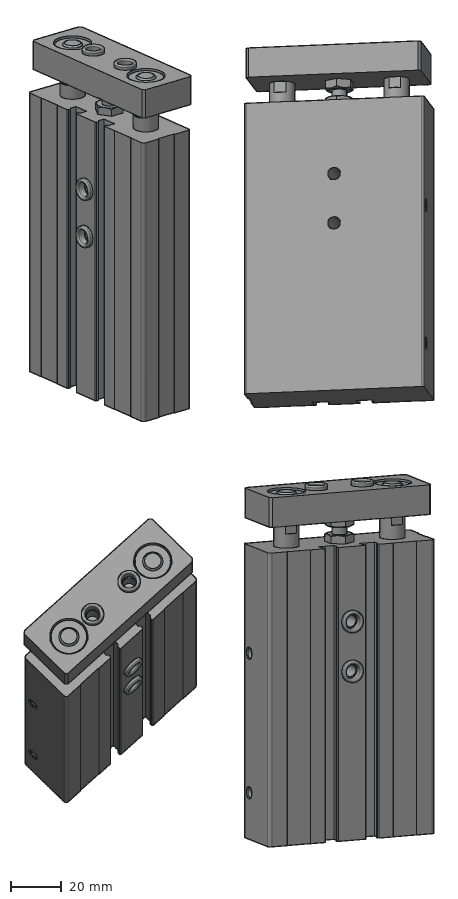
import cadquery as cq
import math


HOUSING_WIDTH = 72.0
HOUSING_DEPTH = 24.0
HOUSING_HEIGHT = 118.0
FRONT_CORNER_RADIUS = 1.3
BACK_CORNER_RADIUS = 1.0
FRONT_Y = -HOUSING_DEPTH / 2

FRONT_GROOVE_WIDTH = 10.0
FRONT_GROOVE_DEPTH = 0.1
SIDE_GROOVE_WIDTH = 8.0
SIDE_GROOVE_DEPTH = 0.4

SLOT_X = 8.8
SLOT_NECK_WIDTH = 5.0
SLOT_NECK_DEPTH = 1.3
SLOT_WIDTH = 6.5
SLOT_DEPTH = 4.8
SLOT_CHAMFER = 0.4

PORT_Y = 7.0
PORT_LOW_Z = 18.7
PORT_PITCH = 56.0
PORT_MOUTH_DIAMETER = 5.0
PORT_DIAMETER = 4.1
PORT_DEPTH = 8.0
DRILL_POINT_ANGLE = 118

ROD_GAP = 10.0
YOKE_WIDTH = 70.0
YOKE_DEPTH = 25.0
YOKE_THICKNESS = 11.9
YOKE_FRONT_Y = -11.0
YOKE_CHAMFER = 1.0
YOKE_BOTTOM_Z = HOUSING_HEIGHT + ROD_GAP
YOKE_TOP_Z = YOKE_BOTTOM_Z + YOKE_THICKNESS

HEX_ACROSS_FLATS = 10.0
HEX_ACROSS_CORNERS = HEX_ACROSS_FLATS / math.cos(math.pi / 6)
HEX_CHAMFER_ANGLE = 30
UPPER_HEX_HEIGHT = 3.7
UPPER_HEX_FACE_DIAMETER = 9.2
LOWER_HEX_HEIGHT = 3.3
LOWER_HEX_FACE_DIAMETER = 10.0
SCREW_NECK_DIAMETER = 6.0

ROD_X = 23.0
ROD_DIAMETER = 10.0
PISTON_DIAMETER = 20.0
PISTON_HEIGHT = 20.0
PISTON_BOTTOM_Z = 18.0
ROD_FLATS = 9.0
ROD_FLATS_HEIGHT = 4.4
ROD_HEAD_DIAMETER = 14.0
ROD_HEAD_SEAT_DEPTH = 5.0
ROD_HEAD_BOTTOM_Z = YOKE_TOP_Z - ROD_HEAD_SEAT_DEPTH
ROD_TIP_DIAMETER = 8.0
ROD_TIP_CHAMFER = 0.7
ROD_COUNTERBORE_DIAMETER = 15.0

SLEEVE_PITCH = 20.0
SLEEVE_DIAMETER = 9.0
SLEEVE_BORE = 6.0
SLEEVE_LENGTH = 3.5
SLEEVE_PROTRUSION = 1.8
SLEEVE_SEAT_DEPTH = SLEEVE_LENGTH - SLEEVE_PROTRUSION
YOKE_SEAT_Z = YOKE_TOP_Z - SLEEVE_SEAT_DEPTH
FRONT_SLEEVE_TOP_Z = 87.9
SCREW_HOLE_DIAMETER = 5.0
YOKE_SCREW_HOLE_DEPTH = 8.0

FRONT_SLEEVE_ZS = [FRONT_SLEEVE_TOP_Z, FRONT_SLEEVE_TOP_Z - SLEEVE_PITCH]
YOKE_SLEEVE_XS = [-SLEEVE_PITCH / 2, SLEEVE_PITCH / 2]
ROD_XS = [-ROD_X, ROD_X]


def cylinder(diameter, height, base=(0, 0, 0)):
    """Upright cylinder standing on the given base centre."""
    return cq.Workplane("XY", origin=base).circle(diameter / 2).extrude(height)


def front_cylinder(diameter, depth, z):
    """Cylinder running into the housing from its front face."""
    return cq.Workplane("XZ", origin=(0, FRONT_Y, z)).circle(diameter / 2).extrude(-depth)


def t_slot(x):
    """T-slot cutter along the full housing height, with a chamfered mouth."""
    neck = SLOT_NECK_WIDTH / 2
    mouth = neck + SLOT_CHAMFER
    wing = SLOT_WIDTH / 2
    half = [
        (mouth, 0),
        (neck, SLOT_CHAMFER),
        (neck, SLOT_NECK_DEPTH),
        (wing, SLOT_NECK_DEPTH + wing - neck),
        (wing, SLOT_DEPTH),
    ]
    outline = half + [(-across, inward) for across, inward in reversed(half)]
    return cq.Workplane("XY", origin=(x, FRONT_Y, 0)).polyline(outline).close().extrude(HOUSING_HEIGHT)


def air_port(z):
    """Blind port cutter in the -X side: countersunk mouth and drill-point bottom."""
    mouth = PORT_MOUTH_DIAMETER / 2
    bore = PORT_DIAMETER / 2
    point_depth = PORT_DEPTH + bore / math.tan(math.radians(DRILL_POINT_ANGLE / 2))
    return (
        cq.Workplane("XY", origin=(-HOUSING_WIDTH / 2, PORT_Y, z))
        .polyline([(0, 0), (0, mouth), (mouth - bore, bore), (PORT_DEPTH, bore), (point_depth, 0)])
        .close()
        .revolve(360, (0, 0, 0), (1, 0, 0))
    )


def make_housing():
    housing = (
        cq.Workplane("XY")
        .box(HOUSING_WIDTH, HOUSING_DEPTH, HOUSING_HEIGHT, centered=(True, True, False))
        .edges("|Z and <Y")
        .fillet(FRONT_CORNER_RADIUS)
        .edges("|Z and >Y")
        .fillet(BACK_CORNER_RADIUS)
    )
    front_groove = cq.Workplane("XY").rect(FRONT_GROOVE_WIDTH, 2 * FRONT_GROOVE_DEPTH).extrude(HOUSING_HEIGHT)
    for x in ROD_XS:
        housing = housing.cut(front_groove.translate((x, FRONT_Y, 0)))
    side_groove = cq.Workplane("XY").rect(2 * SIDE_GROOVE_DEPTH, SIDE_GROOVE_WIDTH).extrude(HOUSING_HEIGHT)
    housing = housing.cut(side_groove.translate((HOUSING_WIDTH / 2, 0, 0)))
    for x in (-SLOT_X, SLOT_X):
        housing = housing.cut(t_slot(x))
    for z in (PORT_LOW_Z, PORT_LOW_Z + PORT_PITCH):
        housing = housing.cut(air_port(z))
    for z in FRONT_SLEEVE_ZS:
        housing = housing.cut(front_cylinder(SLEEVE_DIAMETER, SLEEVE_SEAT_DEPTH, z))
        housing = housing.cut(front_cylinder(SCREW_HOLE_DIAMETER, HOUSING_DEPTH, z))
    for x in ROD_XS:
        housing = housing.cut(cylinder(PISTON_DIAMETER, PISTON_HEIGHT, (x, 0, PISTON_BOTTOM_Z)))
        housing = housing.cut(cylinder(ROD_DIAMETER, HOUSING_HEIGHT, (x, 0, PISTON_BOTTOM_Z)))
    return housing


def make_piston_rod(x):
    """Piston, rod with wrench flats, round clamping head and chamfered tip."""
    piston = cylinder(PISTON_DIAMETER, PISTON_HEIGHT, (x, 0, PISTON_BOTTOM_Z))
    shaft = cylinder(ROD_DIAMETER, ROD_HEAD_BOTTOM_Z - PISTON_BOTTOM_Z, (x, 0, PISTON_BOTTOM_Z))
    wrench_zone = cq.Workplane("XY", origin=(x, 0, YOKE_BOTTOM_Z - ROD_FLATS_HEIGHT))
    wrench_ring = wrench_zone.rect(ROD_DIAMETER, 2 * ROD_DIAMETER).extrude(ROD_FLATS_HEIGHT)
    wrench_core = wrench_zone.rect(ROD_DIAMETER, ROD_FLATS).extrude(ROD_FLATS_HEIGHT)
    shaft = shaft.cut(wrench_ring.cut(wrench_core))
    head_height = ROD_HEAD_SEAT_DEPTH - ROD_TIP_CHAMFER
    head = cylinder(ROD_HEAD_DIAMETER, head_height, (x, 0, ROD_HEAD_BOTTOM_Z))
    tip = cylinder(ROD_TIP_DIAMETER, ROD_HEAD_SEAT_DEPTH, (x, 0, ROD_HEAD_BOTTOM_Z))
    tip = tip.faces(">Z").chamfer(ROD_TIP_CHAMFER)
    return piston.union(shaft).union(head).union(tip)


def make_hexagon(height, face_diameter):
    """Hexagon with corners toward +Y and -Y, standing on Z = 0, its upper corners chamfered."""
    prism = cq.Workplane("XY").polygon(6, HEX_ACROSS_CORNERS).extrude(height)
    prism = prism.rotate((0, 0, 0), (0, 0, 1), 90)
    face = face_diameter / 2
    corner = HEX_ACROSS_CORNERS / 2
    chamfer_z = height - (corner - face) * math.tan(math.radians(HEX_CHAMFER_ANGLE))
    envelope = (
        cq.Workplane("XZ")
        .polyline([(0, 0), (corner, 0), (corner, chamfer_z), (face, height), (0, height)])
        .close()
        .revolve(360, (0, 0, 0), (0, 1, 0))
    )
    return prism.intersect(envelope)


def make_yoke():
    """Yoke plate with the stop screw that reaches down to the housing."""
    plate = (
        cq.Workplane("XY", origin=(0, YOKE_FRONT_Y + YOKE_DEPTH / 2, YOKE_BOTTOM_Z))
        .rect(YOKE_WIDTH, YOKE_DEPTH)
        .extrude(YOKE_THICKNESS)
        .edges("|Z")
        .chamfer(YOKE_CHAMFER)
    )
    for x in ROD_XS:
        plate = plate.cut(cylinder(ROD_DIAMETER, YOKE_THICKNESS, (x, 0, YOKE_BOTTOM_Z)))
        plate = plate.cut(cylinder(ROD_COUNTERBORE_DIAMETER, ROD_HEAD_SEAT_DEPTH, (x, 0, ROD_HEAD_BOTTOM_Z)))
    screw_hole_z = YOKE_TOP_Z - YOKE_SCREW_HOLE_DEPTH
    for x in YOKE_SLEEVE_XS:
        plate = plate.cut(cylinder(SLEEVE_DIAMETER, SLEEVE_SEAT_DEPTH, (x, 0, YOKE_SEAT_Z)))
        plate = plate.cut(cylinder(SCREW_HOLE_DIAMETER, YOKE_SCREW_HOLE_DEPTH, (x, 0, screw_hole_z)))
    lower_hexagon = make_hexagon(LOWER_HEX_HEIGHT, LOWER_HEX_FACE_DIAMETER).translate((0, 0, HOUSING_HEIGHT))
    upper_hexagon = make_hexagon(UPPER_HEX_HEIGHT, UPPER_HEX_FACE_DIAMETER).mirror("XY")
    upper_hexagon = upper_hexagon.translate((0, 0, YOKE_BOTTOM_Z))
    neck = cylinder(SCREW_NECK_DIAMETER, ROD_GAP, (0, 0, HOUSING_HEIGHT))
    return plate.union(neck).union(lower_hexagon).union(upper_hexagon)


def make_sleeve():
    """Centring sleeve along Z: its seated end at Z = 0, its free end fully rounded."""
    outer = SLEEVE_DIAMETER / 2
    inner = SLEEVE_BORE / 2
    round_start = SLEEVE_LENGTH - (outer - inner) / 2
    return (
        cq.Workplane("XZ")
        .moveTo(inner, 0)
        .lineTo(outer, 0)
        .lineTo(outer, round_start)
        .threePointArc(((outer + inner) / 2, SLEEVE_LENGTH), (inner, round_start))
        .close()
        .revolve(360, (0, 0, 0), (0, 1, 0))
    )


housing = make_housing()
yoke = make_yoke()
piston_rods = [make_piston_rod(x) for x in ROD_XS]
yoke_sleeves = [make_sleeve().translate((x, 0, YOKE_SEAT_Z)) for x in YOKE_SLEEVE_XS]
front_sleeve = make_sleeve().rotate((0, 0, 0), (1, 0, 0), 90)
front_sleeves = [front_sleeve.translate((0, FRONT_Y + SLEEVE_SEAT_DEPTH, z)) for z in FRONT_SLEEVE_ZS]

result = cq.Compound.makeCompound(
    [
        housing.val(),
        yoke.val(),
        *[rod.val() for rod in piston_rods],
        *[sleeve.val() for sleeve in yoke_sleeves + front_sleeves],
    ]
)